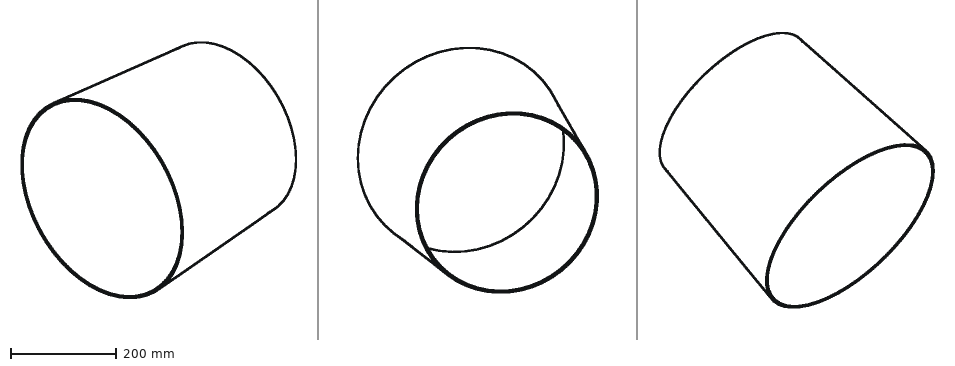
import cadquery as cq

large_diameter = 406.5
small_diameter = 355.5
length = 356.0
wall = 4.0

large_radius = large_diameter / 2
small_radius = small_diameter / 2

wall_section = (
    cq.Workplane("XY")
    .moveTo(large_radius - wall, 0)
    .lineTo(large_radius, 0)
    .lineTo(small_radius, length)
    .lineTo(small_radius - wall, length)
    .close()
)

result = wall_section.revolve(360, (0, 0, 0), (0, 1, 0))